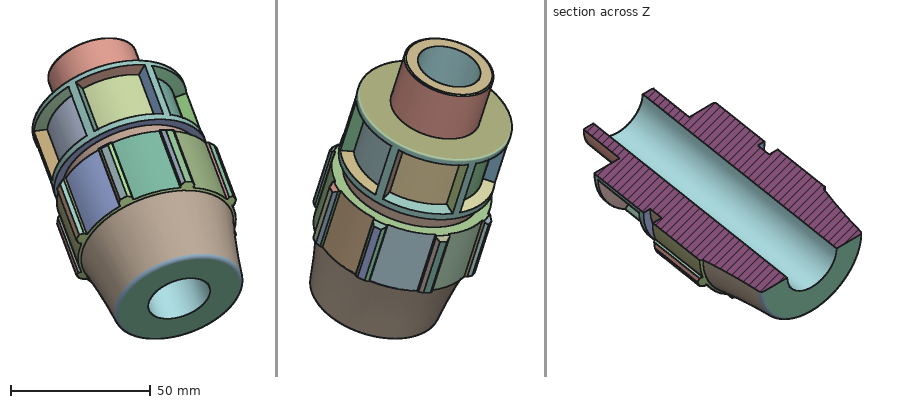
import cadquery as cq

total_length = 107.0
bore_radius = 23.3 / 2

spigot_radius = 33.3 / 2
spigot_tip_radius = 32.0 / 2
spigot_chamfer_length = 0.3

collar_start = 20.0
collar_end = 47.5
collar_radius = 57.6 / 2
collar_fillet = 0.6
pocket_start = 22.4
pocket_end = 44.9
pocket_floor_radius = 24.0
pocket_wall_draft = 0.6
collar_rib_count = 6
collar_rib_width = 3.2

neck_radius = 51.3 / 2

nut_start = 53.6
nut_radius = 29.7
nut_edge = 79.7
grip_count = 8
grip_top_radius = 32.0
grip_width = 5.5
grip_chamfer = 1.3
grip_lead_in = 1.6
grip_top_end = 78.8
rear_face_slope = (nut_edge - grip_top_end) / (grip_top_radius - nut_radius)

nose_start_radius = 28.7
nose_start = nut_edge + rear_face_slope * (nut_radius - nose_start_radius)
nose_tip_radius = 24.1
nose_hollow = 0.4
nose_fillet = 1.4


def revolve_outline(points):
    """Turn a closed outline of (x, radius) points about the X axis."""
    return cq.Workplane("XY").polyline(points).close().revolve(360, (0, 0, 0), (1, 0, 0))


def tube(start, end, radius):
    """Cylinder along X with the through bore."""
    return revolve_outline([
        (start, bore_radius),
        (start, radius),
        (end, radius),
        (end, bore_radius),
    ])


def spigot():
    return revolve_outline([
        (0, bore_radius),
        (0, spigot_tip_radius),
        (spigot_chamfer_length, spigot_radius),
        (collar_start, spigot_radius),
        (collar_start, bore_radius),
    ])


def collar_pockets():
    """Drafted ring groove, split into pockets by radial ribs left standing."""
    clearance = 1.1
    overrun = clearance * pocket_wall_draft / (collar_radius - pocket_floor_radius)
    ring = revolve_outline([
        (pocket_start + pocket_wall_draft, pocket_floor_radius),
        (pocket_start - overrun, collar_radius + clearance),
        (pocket_end + overrun, collar_radius + clearance),
        (pocket_end - pocket_wall_draft, pocket_floor_radius),
    ])
    bar_span = 2 * (collar_radius + 2 * clearance)
    bar = cq.Workplane("XY").box(2 * total_length, bar_span, collar_rib_width)
    for i in range(collar_rib_count // 2):
        angle = i * 360 / collar_rib_count
        ring = ring.cut(bar.rotate((0, 0, 0), (1, 0, 0), angle))
    return ring


def collar():
    blank = tube(collar_start, collar_end, collar_radius)
    blank = blank.faces("<X").edges(cq.selectors.RadiusNthSelector(-1)).fillet(collar_fillet)
    return blank.cut(collar_pockets())


def neck():
    return tube(collar_end, nut_start, neck_radius)


def nut():
    """Nut and its chamfered grip ribs, both trimmed by the same conical ends."""
    root_radius = (neck_radius + nut_radius) / 2
    half_width = grip_width / 2
    half_top = half_width - grip_chamfer
    shoulder_radius = grip_top_radius - grip_chamfer
    length = nose_start - nut_start
    front = cq.Workplane("YZ", origin=(nut_start, 0, 0))
    rib = (
        front.polyline([
            (-half_width, root_radius),
            (-half_width, shoulder_radius),
            (-half_top, grip_top_radius),
            (half_top, grip_top_radius),
            (half_width, shoulder_radius),
            (half_width, root_radius),
        ])
        .close()
        .extrude(length)
    )
    ribbed = front.circle(nut_radius).extrude(length)
    for i in range(grip_count):
        angle = (i + 0.5) * 360 / grip_count
        ribbed = ribbed.union(rib.rotate((0, 0, 0), (1, 0, 0), angle))

    trim_height = 1.1
    trim_radius = grip_top_radius + trim_height
    trim = revolve_outline([
        (nut_start, bore_radius),
        (nut_start, grip_top_radius - grip_lead_in),
        (nut_start + grip_lead_in + trim_height, trim_radius),
        (grip_top_end - rear_face_slope * trim_height, trim_radius),
        (nose_start, nose_start_radius),
        (nose_start, bore_radius),
    ])
    return ribbed.intersect(trim)


def nose():
    middle = (
        (nose_start + total_length) / 2,
        (nose_start_radius + nose_tip_radius) / 2 - nose_hollow,
    )
    taper = (
        cq.Workplane("XY")
        .moveTo(nose_start, bore_radius)
        .lineTo(nose_start, nose_start_radius)
        .threePointArc(middle, (total_length, nose_tip_radius))
        .lineTo(total_length, bore_radius)
        .close()
        .revolve(360, (0, 0, 0), (1, 0, 0))
    )
    return taper.faces(">X").edges(cq.selectors.RadiusNthSelector(-1)).fillet(nose_fillet)


result = spigot().union(collar()).union(neck()).union(nut()).union(nose())